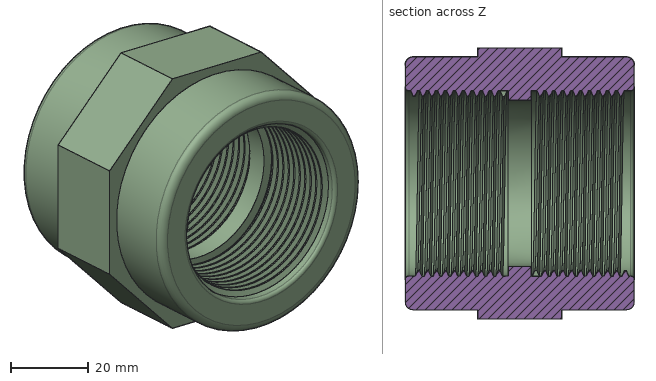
import cadquery as cq

length = 59.2
octagon_across_flats = 70.0
octagon_width = 21.7
barrel_diameter = 65.45
barrel_edge_radius = 2.1
through_bore_diameter = 42.9

thread_major_diameter = 47.8
thread_minor_diameter = 44.9
thread_pitch = 2.3
thread_turns = 10
thread_start = 1.4
socket_depth = 26.6
socket_edge_radius = 1.0
ridge_root_width = 1.9
ridge_crest_width = 0.5
ridge_overlap = 0.15

end_x = length / 2


def make_outer_body():
    """Round barrel with rounded rims and an octagonal grip in the middle."""
    barrel = (
        cq.Workplane("YZ", origin=(-end_x, 0, 0))
        .circle(barrel_diameter / 2)
        .extrude(length)
        .edges("%CIRCLE")
        .fillet(barrel_edge_radius)
    )
    grip = (
        cq.Workplane("YZ", origin=(-octagon_width / 2, 0, 0))
        .polygon(8, octagon_across_flats, circumscribed=True)
        .extrude(octagon_width)
    )
    return barrel.union(grip)


def make_bore_profile_cutter():
    """Through bore plus a socket at each end with a rounded mouth."""
    bore_radius = through_bore_diameter / 2
    socket_radius = thread_major_diameter / 2
    mouth_radius = socket_radius + socket_edge_radius
    floor_x = end_x - socket_depth
    shoulder_x = end_x - socket_edge_radius
    arc_offset = socket_edge_radius * 0.5 ** 0.5
    arc_x = shoulder_x + arc_offset
    arc_radius = mouth_radius - arc_offset
    return (
        cq.Workplane("XY")
        .moveTo(-end_x, 0)
        .lineTo(-end_x, mouth_radius)
        .threePointArc((-arc_x, arc_radius), (-shoulder_x, socket_radius))
        .lineTo(-floor_x, socket_radius)
        .lineTo(-floor_x, bore_radius)
        .lineTo(floor_x, bore_radius)
        .lineTo(floor_x, socket_radius)
        .lineTo(shoulder_x, socket_radius)
        .threePointArc((arc_x, arc_radius), (end_x, mouth_radius))
        .lineTo(end_x, 0)
        .close()
        .revolve(360, (0, 0, 0), (1, 0, 0))
    )


def make_thread_ridge():
    """Right-handed helical ridge for the -X socket, starting on the +Y side."""
    root_radius = thread_major_diameter / 2 + ridge_overlap
    crest_radius = thread_minor_diameter / 2
    helix = cq.Wire.makeHelix(thread_pitch, thread_pitch * thread_turns, root_radius)
    ridge = (
        cq.Workplane("XZ")
        .moveTo(root_radius, -ridge_root_width / 2)
        .lineTo(crest_radius, -ridge_crest_width / 2)
        .lineTo(crest_radius, ridge_crest_width / 2)
        .lineTo(root_radius, ridge_root_width / 2)
        .close()
        .sweep(cq.Workplane(obj=helix), isFrenet=True)
    )
    first_ridge_x = -end_x + thread_start + ridge_root_width / 2
    socket_plane = cq.Plane(origin=(first_ridge_x, 0, 0), xDir=(0, 1, 0), normal=(1, 0, 0))
    return cq.Workplane(obj=ridge.val().moved(cq.Location(socket_plane)))


ridge = make_thread_ridge()
result = make_outer_body().cut(make_bore_profile_cutter())
for turn_angle in (0, 180):
    result = result.union(ridge.rotate((0, 0, 0), (0, 0, 1), turn_angle))